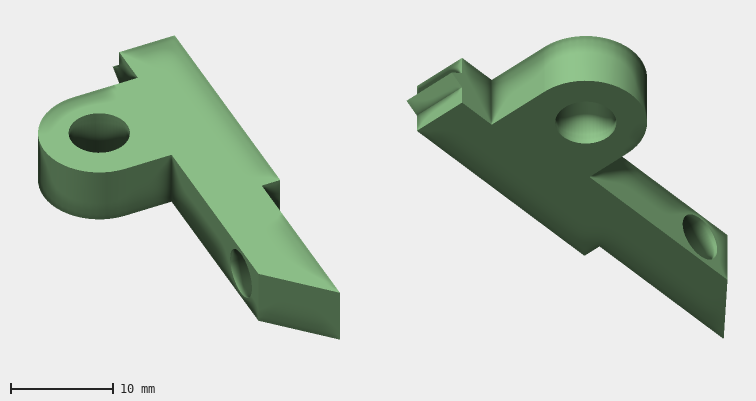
import cadquery as cq

thickness = 6.0

lug_radius = 6.0
pivot_diameter = 6.0

back_y = 13.0
head_depth = 6.0
head_overhang = 4.3
head_right_x = 14.0
tooth_length = 1.5
tooth_height = 1.9

arm_step = 2.0
arm_width = 6.0
arm_tip_x = 32.0
tip_slant = arm_width

pin_diameter = 5.0
pin_depth = 3.0
pin_from_slant = 4.0

head_left_x = -lug_radius - head_overhang
head_front_y = back_y - head_depth
arm_back_y = back_y - arm_step
arm_front_y = arm_back_y - arm_width
arm_front_end_x = arm_tip_x - tip_slant
middle_z = thickness / 2


def make_body():
    """Flat plate: head, arm and rounded lug in one outline."""
    return (
        cq.Workplane("XY")
        .moveTo(head_left_x, back_y)
        .lineTo(head_right_x, back_y)
        .lineTo(head_right_x, arm_back_y)
        .lineTo(arm_tip_x, arm_back_y)
        .lineTo(arm_front_end_x, arm_front_y)
        .lineTo(lug_radius, arm_front_y)
        .lineTo(lug_radius, 0)
        .threePointArc((0, -lug_radius), (-lug_radius, 0))
        .lineTo(-lug_radius, head_front_y)
        .lineTo(head_left_x, head_front_y)
        .close()
        .extrude(thickness)
    )


def make_tooth():
    """V-shaped tooth along the full depth of the head's left face."""
    return (
        cq.Workplane("XZ", origin=(head_left_x, back_y, middle_z))
        .moveTo(0, tooth_height / 2)
        .lineTo(-tooth_length, 0)
        .lineTo(0, -tooth_height / 2)
        .close()
        .extrude(head_depth)
    )


def make_pivot_hole():
    """Through hole on the lug axis."""
    return cq.Workplane("XY").circle(pivot_diameter / 2).extrude(thickness)


def make_pin_hole():
    """Flat-bottomed blind hole running into the arm along +Y."""
    pin_x = arm_front_end_x - pin_from_slant
    return (
        cq.Workplane("XZ", origin=(pin_x, arm_front_y, middle_z))
        .circle(pin_diameter / 2)
        .extrude(-pin_depth)
    )


result = make_body().union(make_tooth()).cut(make_pivot_hole()).cut(make_pin_hole())